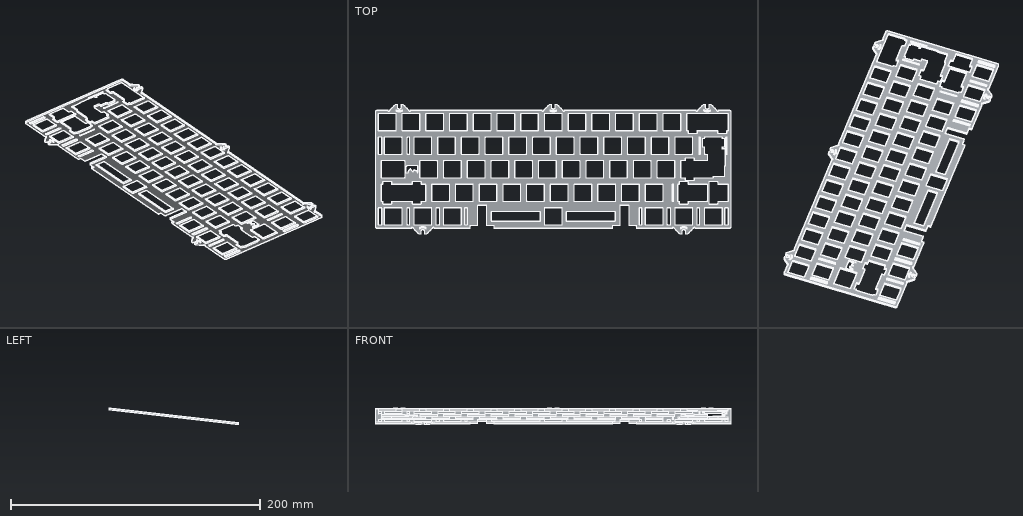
import cadquery as cq


UNIT = 19.05
COLUMNS = 15
ROWS = 5
PLATE_WIDTH = COLUMNS * UNIT
PLATE_DEPTH = ROWS * UNIT
LEFT_EDGE = -PLATE_WIDTH / 2
TOP_EDGE = PLATE_DEPTH / 2
THICKNESS = 1.5
TILT_ANGLE = 6.5
CORNER_RADIUS = 1.5

SWITCH_SIZE = 14.0
OPENING_RADIUS = 0.3
NUMBER_ROW, TOP_ROW, HOME_ROW, SHIFT_ROW, BOTTOM_ROW = range(ROWS)

SINGLE_KEYS = {
    NUMBER_ROW: [0.5 + i for i in range(13)],
    TOP_ROW: [0.75] + [2 + i for i in range(12)] + [14.25],
    HOME_ROW: [2.25 + i for i in range(11)],
    SHIFT_ROW: [2.75 + i for i in range(10)] + [14.5],
    BOTTOM_ROW: [0.75, 2, 3.25, COLUMNS / 2, 11.75, 13, 14.25],
}
BACKSPACE_SPAN = (13.5, 14.5)
CAPS_LOCK_SPAN = (0.625, 0.875)
LEFT_SHIFT_SPAN = (0.625, 1.75)
RIGHT_SHIFT_SPAN = (13.125, 13.625)
ENTER_SPAN = (13.25, 13.875)
BACKSPACE = 14
LEFT_SHIFT = 1.125
RIGHT_SHIFT = 13.625
WIDE_ENTER = 13.875
TALL_ENTER = 14.375
TALL_ENTER_STABILIZER = 14.25

STABILIZER_WIDTH = 7.0
STABILIZER_REACH = 9.1
TALL_STABILIZER_REACH = 8.75
STABILIZER_OFFSET = 11.9

SPACE_STABILIZER_OFFSET = 3 * UNIT
SPACE_STEP_WIDTH = 19.0
SPACE_STEP_Y = -45.35
SPACE_WINDOW_INNER = 10.6
SPACE_WINDOW_OUTER = 49.6
SPACE_WINDOW_HEIGHT = 7.9

SLOT_LENGTH = SWITCH_SIZE
EDGE_SLOT = (3.8, 2.5)
FIRST_GAP_SLOT = (26.5, 1.7)
SECOND_GAP_SLOT = (50.1, 2.5)
SPACE_SIDE_SLOT = (72.85, 1.85)
SLIT_WIDTH = 0.8
OUTER_SLIT = 3.8
INNER_SLIT = 25.3
SHIFT_SLIT = 46.8

TAB_LENGTH = 4.675
TAB_TIP_HALF_WIDTH = 3.1
TAB_BASE_HALF_WIDTH = TAB_TIP_HALF_WIDTH + TAB_LENGTH
TAB_ROOT = 1.0
TAB_RELIEF_RADIUS = 0.7
TAB_NOTCH_WIDTH = 2.8
TAB_NOTCH_DEPTH = 3.7
TAB_TIP = TOP_EDGE + TAB_LENGTH
BOW_HALF_WIDTH = 2.6
BOW_SAG = 0.8
BOW_WIDTH = 0.8
BOW_END_DEPTH = 4.3
TOP_TAB_SPACING = 6.49 * UNIT
BOTTOM_TAB_OFFSET = 5.5 * UNIT

RIDGE_LEFT, RIDGE_RIGHT = -118.1, -108.9
RIDGE_TOP, RIDGE_BOTTOM = 3.0, -3.0
RIDGE_CHAMFER = 0.8
RIDGE_PROFILE = [
    (-109.2, -1.3),
    (-110.2, -1.2),
    (-111.7, -0.4),
    (-112.8, -2.0),
    (-114.8, 0.4),
    (-116.3, -1.2),
    (-116.8, -3.0),
]


def key_x(units_from_left):
    return LEFT_EDGE + units_from_left * UNIT


def key_y(row):
    return TOP_EDGE - (row + 0.5) * UNIT


def box(x, y, width, depth):
    """Cutting block centred on (x, y), passing through the plate."""
    return cq.Workplane("XY").box(width, depth, 2 * THICKNESS).translate((x, y, 0))


def prism(sketch, height=2 * THICKNESS):
    """Extrude a closed outline evenly above and below the mid-plane."""
    return sketch.extrude(height / 2, both=True)


def switch_cut(units_from_left, row):
    return box(key_x(units_from_left), key_y(row), SWITCH_SIZE, SWITCH_SIZE)


def stabilizer_cut(x, y):
    return box(x, y, STABILIZER_WIDTH, 2 * STABILIZER_REACH)


def single_key_cuts():
    return [switch_cut(units, row) for row, keys in SINGLE_KEYS.items() for units in keys]


def bridge_cut(span, row):
    """One opening spanning the switch holes from the first to the last centre."""
    first_units, last_units = span
    middle = (first_units + last_units) / 2
    width = (last_units - first_units) * UNIT + SWITCH_SIZE
    return box(key_x(middle), key_y(row), width, SWITCH_SIZE)


def wide_key_cuts():
    return [
        bridge_cut(BACKSPACE_SPAN, NUMBER_ROW),
        bridge_cut(CAPS_LOCK_SPAN, HOME_ROW),
        bridge_cut(LEFT_SHIFT_SPAN, SHIFT_ROW),
        bridge_cut(RIGHT_SHIFT_SPAN, SHIFT_ROW),
    ]


def stabilizer_cuts():
    cuts = []
    for side in (-1, 1):
        offset = side * STABILIZER_OFFSET
        backspace_y = key_y(NUMBER_ROW) - STABILIZER_REACH / 2
        cuts.append(box(key_x(BACKSPACE) + offset, backspace_y, STABILIZER_WIDTH, STABILIZER_REACH))
        cuts.append(stabilizer_cut(key_x(LEFT_SHIFT) + offset, key_y(SHIFT_ROW)))
        cuts.append(stabilizer_cut(key_x(RIGHT_SHIFT) + offset, key_y(SHIFT_ROW)))
    return cuts


def enter_cuts():
    """Combined opening for a wide enter key and a tall two-row enter key."""
    tall_x = key_x(TALL_ENTER)
    tall_y = (key_y(TOP_ROW) + key_y(HOME_ROW)) / 2
    tall_stabilizer_x = key_x(TALL_ENTER_STABILIZER)
    cuts = [
        bridge_cut(ENTER_SPAN, HOME_ROW),
        stabilizer_cut(key_x(WIDE_ENTER) - STABILIZER_OFFSET, key_y(HOME_ROW)),
        box(tall_x, tall_y, SWITCH_SIZE, SWITCH_SIZE),
    ]
    stabilizer_length = 2 * TALL_STABILIZER_REACH
    upper_y = tall_y + STABILIZER_OFFSET
    cuts.append(box(tall_stabilizer_x, upper_y, stabilizer_length, STABILIZER_WIDTH))
    lower_top = tall_y - SWITCH_SIZE / 2
    lower_bottom = tall_y - STABILIZER_OFFSET - STABILIZER_WIDTH / 2
    lower_y = (lower_top + lower_bottom) / 2
    cuts.append(box(tall_stabilizer_x, lower_y, stabilizer_length, lower_top - lower_bottom))
    return cuts


def space_bar_cuts():
    cuts = []
    y = key_y(BOTTOM_ROW)
    window_width = SPACE_WINDOW_OUTER - SPACE_WINDOW_INNER
    window_x = (SPACE_WINDOW_OUTER + SPACE_WINDOW_INNER) / 2
    notch_top = y + STABILIZER_REACH
    notch_depth = notch_top + TOP_EDGE
    step_depth = SPACE_STEP_Y + TOP_EDGE + OPENING_RADIUS
    for side in (-1, 1):
        x = side * SPACE_STABILIZER_OFFSET
        cuts.append(box(side * window_x, y, window_width, SPACE_WINDOW_HEIGHT))
        cuts.append(box(x, notch_top - notch_depth / 2, STABILIZER_WIDTH, notch_depth))
        cuts.append(box(x, SPACE_STEP_Y - step_depth / 2, SPACE_STEP_WIDTH, step_depth))
    return cuts


def slot_cuts():
    cuts = []
    for from_edge, width in (EDGE_SLOT, FIRST_GAP_SLOT, SECOND_GAP_SLOT, SPACE_SIDE_SLOT):
        for side in (-1, 1):
            x = side * (PLATE_WIDTH / 2 - from_edge)
            cuts.append(box(x, key_y(BOTTOM_ROW), width, SLOT_LENGTH))
    for from_edge, width in (EDGE_SLOT, FIRST_GAP_SLOT):
        cuts.append(box(LEFT_EDGE + from_edge, key_y(TOP_ROW), width, SLOT_LENGTH))
    for from_edge, row in ((OUTER_SLIT, TOP_ROW), (INNER_SLIT, TOP_ROW), (SHIFT_SLIT, SHIFT_ROW)):
        cuts.append(box(PLATE_WIDTH / 2 - from_edge, key_y(row), SLIT_WIDTH, SLOT_LENGTH))
    return cuts


def ridge_cut():
    outline = [
        (RIDGE_LEFT, RIDGE_BOTTOM),
        (RIDGE_LEFT, RIDGE_TOP - RIDGE_CHAMFER),
        (RIDGE_LEFT + RIDGE_CHAMFER, RIDGE_TOP),
        (RIDGE_RIGHT, RIDGE_TOP),
        (RIDGE_RIGHT, RIDGE_BOTTOM),
    ]
    return prism(cq.Workplane("XY").polyline(outline + RIDGE_PROFILE).close())


def tab_body():
    """Tapered tab on the +Y edge, centred on X = 0."""
    root_y = TOP_EDGE - TAB_ROOT
    outline = [
        (-TAB_BASE_HALF_WIDTH, root_y),
        (-TAB_BASE_HALF_WIDTH, TOP_EDGE),
        (-TAB_TIP_HALF_WIDTH, TAB_TIP),
        (TAB_TIP_HALF_WIDTH, TAB_TIP),
        (TAB_BASE_HALF_WIDTH, TOP_EDGE),
        (TAB_BASE_HALF_WIDTH, root_y),
    ]
    return prism(cq.Workplane("XY").polyline(outline).close(), THICKNESS)


def tab_notch():
    """Round-ended notch open at the tab tip."""
    radius = TAB_NOTCH_WIDTH / 2
    round_y = TAB_TIP - TAB_NOTCH_DEPTH + radius
    sketch = (
        cq.Workplane("XY")
        .moveTo(-radius, TAB_TIP)
        .lineTo(-radius, round_y)
        .threePointArc((0, round_y - radius), (radius, round_y))
        .lineTo(radius, TAB_TIP)
        .close()
    )
    return prism(sketch)


def tab_bow_slot():
    """Curved slot that sags away from the notch."""
    outer_y = TAB_TIP - BOW_END_DEPTH
    inner_y = outer_y - BOW_WIDTH
    sketch = (
        cq.Workplane("XY")
        .moveTo(-BOW_HALF_WIDTH, outer_y)
        .threePointArc((0, outer_y - BOW_SAG), (BOW_HALF_WIDTH, outer_y))
        .lineTo(BOW_HALF_WIDTH, inner_y)
        .threePointArc((0, inner_y - BOW_SAG), (-BOW_HALF_WIDTH, inner_y))
        .close()
    )
    return prism(sketch)


def tab_reliefs():
    """Half-round reliefs in the plate edge at both ends of the tab base."""
    x = TAB_BASE_HALF_WIDTH + TAB_RELIEF_RADIUS
    sketch = cq.Workplane("XY").pushPoints([(-x, TOP_EDGE), (x, TOP_EDGE)])
    return prism(sketch.circle(TAB_RELIEF_RADIUS))


def at_tabs(shape):
    """Copies of a +Y-edge shape at the three top tabs and, turned round, the two bottom tabs."""
    copies = [shape.translate((i * TOP_TAB_SPACING, 0, 0)) for i in (-1, 0, 1)]
    turned = shape.rotate((0, 0, 0), (0, 0, 1), 180)
    copies += [turned.translate((side * BOTTOM_TAB_OFFSET, 0, 0)) for side in (-1, 1)]
    return copies


def solids_of(cutters):
    return [solid for cutter in cutters for solid in cutter.vals()]


def key_openings():
    """All key and slot openings merged into one cutting body with rounded corners."""
    cutters = single_key_cuts() + wide_key_cuts() + stabilizer_cuts() + enter_cuts()
    cutters += space_bar_cuts() + slot_cuts()
    first, *others = solids_of(cutters)
    merged = cq.Workplane("XY").newObject([first.fuse(*others).clean()])
    return merged.edges("|Z").fillet(OPENING_RADIUS)


def switch_plate():
    plate = cq.Workplane("XY").box(PLATE_WIDTH, PLATE_DEPTH, THICKNESS)
    plate = plate.edges("|Z").fillet(CORNER_RADIUS)
    for tab in at_tabs(tab_body()):
        plate = plate.union(tab)

    cutters = [ridge_cut()]
    for tab_cut in (tab_notch(), tab_bow_slot(), tab_reliefs()):
        cutters += at_tabs(tab_cut)
    plate = cq.Workplane("XY").newObject([plate.val().cut(*solids_of(cutters))])
    return plate.cut(key_openings())


result = switch_plate().rotate((0, 0, 0), (1, 0, 0), TILT_ANGLE)